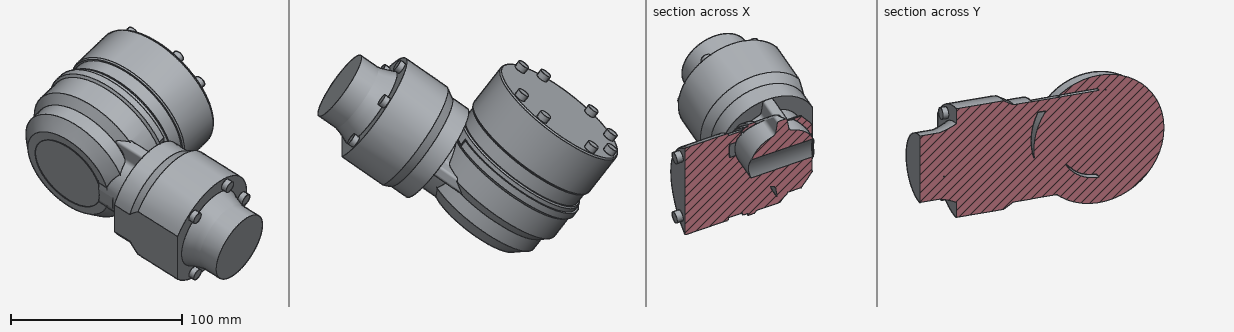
import cadquery as cq
import math

PIN_D = 7.0
PIN_EMBED = 1.5

BARREL_R = 42.5
BARREL_EDGE_R = 41.98
GROOVE_R = 41.0
RING_R = 44.0
NOSE_R = 37.5
FACE_R = 30.2
CAP_R = 24.4
PIN_END_Y = 67.0
BACK_Y = 63.2
EDGE_CHAMFER_LENGTH = 1.1
GROOVE_BACK_Y = 34.7
GROOVE_FRONT_Y = 25.8
RING_BACK_Y = 22.2
RING_FRONT_Y = 18.0
RING_CHAMFER = RING_R - BARREL_R
BARREL_FRONT_Y = 1.5
NOSE_BACK_Y = -3.5
NOSE_FRONT_Y = -12.4
FACE_Y = -19.5
CAP_Y = -20.0
RING_TRIM_X = 38.0

DRUM_PIN_CIRCLE_R = 37.5
DRUM_PIN_ANGLES = (20, 55, 110, 140)

NECK_R = 21.4
NECK_FLAT_WIDTH = 9.7
NECK_FLAT_REACH = 34.9
WEB_BASE_WIDTH = 14.9
WEB_TIP_WIDTH = 6.4
WEB_TIP_Z = 31.3
WEB_EDGE_FILLET = 1.7
WEB_ROOT_FILLET = 3.1

SLEEVE_R = 31.5
BODY_R = 35.0
TAPER_R = 25.3
SPIGOT_R = 21.5
SLEEVE_START_X = 42.2
SLEEVE_END_X = 53.8
BODY_START_X = 59.9
BODY_END_X = 89.6
ARM_PIN_END_X = 93.2
TAPER_END_X = 100.0
ARM_END_X = 112.4
TAPER_SAG = 0.39
ARM_FLAT_Y = -29.0
ARM_PIN_CIRCLE_R = 30.0
ARM_PIN_COUNT = 6


def y_cylinder(radius, start, end):
    """Cylinder about the drum axis."""
    return cq.Workplane("XZ", origin=(0, start, 0)).circle(radius).extrude(start - end)


def make_drum():
    profile = [
        (0, BACK_Y),
        (BARREL_EDGE_R, BACK_Y),
        (BARREL_R, BACK_Y - EDGE_CHAMFER_LENGTH),
        (BARREL_R, GROOVE_BACK_Y + EDGE_CHAMFER_LENGTH),
        (BARREL_EDGE_R, GROOVE_BACK_Y),
        (GROOVE_R, GROOVE_BACK_Y),
        (GROOVE_R, GROOVE_FRONT_Y),
        (BARREL_EDGE_R, GROOVE_FRONT_Y),
        (BARREL_R, GROOVE_FRONT_Y - EDGE_CHAMFER_LENGTH),
        (BARREL_R, RING_BACK_Y),
        (RING_R, RING_BACK_Y),
        (RING_R, RING_FRONT_Y),
        (BARREL_R, RING_FRONT_Y - RING_CHAMFER),
        (BARREL_R, BARREL_FRONT_Y),
        (NOSE_R, NOSE_BACK_Y),
        (NOSE_R, NOSE_FRONT_Y),
        (FACE_R, FACE_Y),
        (CAP_R, FACE_Y),
        (CAP_R, CAP_Y),
        (0, CAP_Y),
    ]
    drum = cq.Workplane("XY").polyline(profile).close().revolve(360, (0, 0, 0), (0, 1, 0))

    rim = y_cylinder(RING_R, RING_BACK_Y, RING_FRONT_Y)
    rim = rim.cut(y_cylinder(BARREL_R, RING_BACK_Y, RING_FRONT_Y))
    arm_side = cq.Workplane("XY").box(
        RING_R, 3 * RING_R, 3 * RING_R, centered=(False, True, True)
    ).translate((RING_TRIM_X, 0, 0))
    drum = drum.cut(rim.intersect(arm_side))

    for angle in DRUM_PIN_ANGLES:
        x = -DRUM_PIN_CIRCLE_R * math.cos(math.radians(angle))
        z = DRUM_PIN_CIRCLE_R * math.sin(math.radians(angle))
        for side in (1, -1):
            pin = y_cylinder(PIN_D / 2, PIN_END_Y, BACK_Y - PIN_EMBED)
            drum = drum.union(pin.translate((x, 0, side * z)))
    return drum


def make_neck():
    """Round neck with a tapered, rounded web above and below, stopping at the cap edge."""
    length = SLEEVE_START_X
    neck = cq.Workplane("YZ").circle(NECK_R).extrude(length)
    web_outline = [
        (-WEB_BASE_WIDTH / 2, 0),
        (-WEB_TIP_WIDTH / 2, WEB_TIP_Z),
        (WEB_TIP_WIDTH / 2, WEB_TIP_Z),
        (WEB_BASE_WIDTH / 2, 0),
    ]
    web = cq.Workplane("YZ").polyline(web_outline).close().extrude(length)
    web = web.edges("|X and >Z").fillet(WEB_EDGE_FILLET)
    neck = neck.union(web).union(web.mirror("XY"))
    roots = cq.selectors.BoxSelector(
        (0, -WEB_BASE_WIDTH / 2, -NECK_R),
        (length, WEB_BASE_WIDTH / 2, NECK_R),
    )
    neck = neck.edges("|X").edges(roots).fillet(WEB_ROOT_FILLET)

    flat_y = -math.sqrt(NECK_R**2 - (NECK_FLAT_WIDTH / 2) ** 2)
    neck = neck.cut(y_cylinder(NECK_FLAT_REACH, flat_y, flat_y - NECK_R))
    return neck.cut(y_cylinder(CAP_R, BACK_Y, -BACK_Y))


def make_arm():
    taper_mid_x = (BODY_END_X + TAPER_END_X) / 2
    taper_mid_r = (TAPER_R + SPIGOT_R) / 2 - TAPER_SAG
    arm = (
        cq.Workplane("XY")
        .moveTo(SLEEVE_START_X, 0)
        .lineTo(SLEEVE_START_X, SLEEVE_R)
        .lineTo(SLEEVE_END_X, SLEEVE_R)
        .lineTo(BODY_START_X, BODY_R)
        .lineTo(BODY_END_X, BODY_R)
        .lineTo(BODY_END_X, TAPER_R)
        .threePointArc((taper_mid_x, taper_mid_r), (TAPER_END_X, SPIGOT_R))
        .lineTo(ARM_END_X, SPIGOT_R)
        .lineTo(ARM_END_X, 0)
        .close()
        .revolve(360, (0, 0, 0), (1, 0, 0))
    )
    below_flat = cq.Workplane("XY").box(
        ARM_END_X, BODY_R, 3 * BODY_R, centered=(False, False, True)
    ).translate((0, ARM_FLAT_Y - BODY_R, 0))
    arm = arm.cut(below_flat)

    for index in range(ARM_PIN_COUNT):
        angle = 2 * math.pi * index / ARM_PIN_COUNT
        y = ARM_PIN_CIRCLE_R * math.cos(angle)
        z = ARM_PIN_CIRCLE_R * math.sin(angle)
        if y < ARM_FLAT_Y:
            continue
        pin = cq.Workplane("YZ", origin=(BODY_END_X - PIN_EMBED, y, z)).circle(PIN_D / 2)
        arm = arm.union(pin.extrude(ARM_PIN_END_X - BODY_END_X + PIN_EMBED))
    return arm


result = make_arm().union(make_neck()).union(make_drum())